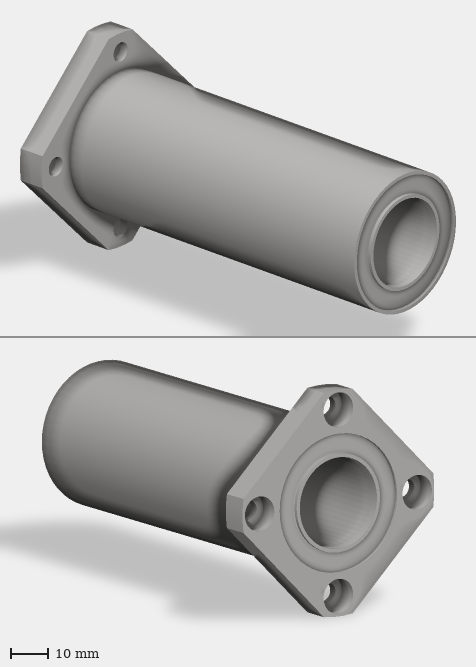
import cadquery as cq
import math

total_length = 112.0
sleeve_diameter = 40.0
bore_diameter = 25.0

flange_diameter = 62.0
flange_thickness = 8.0
flange_across_flats = 50.0

bolt_circle_diameter = 51.0
bolt_hole_diameter = 5.5
counterbore_diameter = 9.5
counterbore_depth = 5.4
bolt_count = 4

recess_diameter = 38.0
lip_diameter = 27.0
recess_depth = 1.0


def cylinder(diameter, start, length):
    """Solid cylinder along the X axis, starting at X = start."""
    return cq.Workplane("YZ", origin=(start, 0, 0)).circle(diameter / 2).extrude(length)


def make_flange():
    square = (
        cq.Workplane("YZ")
        .rect(flange_across_flats, flange_across_flats)
        .extrude(flange_thickness)
        .rotate((0, 0, 0), (1, 0, 0), 45)
    )
    return square.intersect(cylinder(flange_diameter, 0, flange_thickness))


def drill_bolt_holes(body):
    for index in range(bolt_count):
        angle = 2 * math.pi * index / bolt_count
        position = (
            0,
            bolt_circle_diameter / 2 * math.cos(angle),
            bolt_circle_diameter / 2 * math.sin(angle),
        )
        hole = cylinder(bolt_hole_diameter, 0, flange_thickness)
        counterbore = cylinder(counterbore_diameter, 0, counterbore_depth)
        body = body.cut(hole.union(counterbore).translate(position))
    return body


def cut_end_recess(body, end_face, inward):
    """Recess one end; inward is +1 or -1 along X, pointing into the part."""
    recess = cylinder(recess_diameter, end_face, inward * recess_depth)
    lip = cylinder(lip_diameter, end_face, inward * recess_depth)
    return body.cut(recess.cut(lip))


body = make_flange().union(cylinder(sleeve_diameter, 0, total_length))
body = body.cut(cylinder(bore_diameter, 0, total_length))
body = drill_bolt_holes(body)
body = cut_end_recess(body, 0, 1)
body = cut_end_recess(body, total_length, -1)
result = body